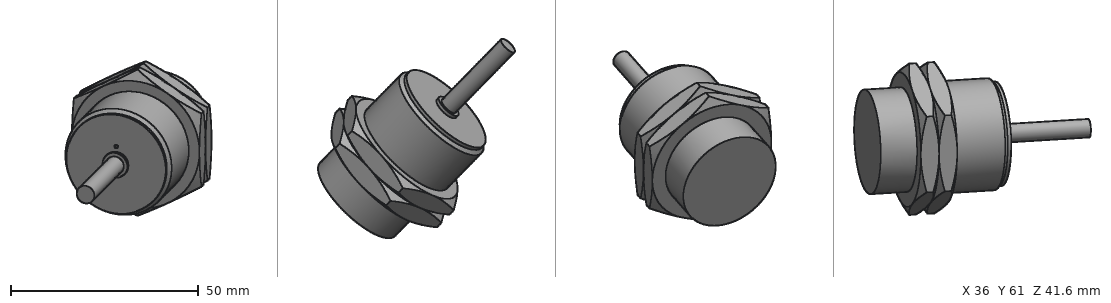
import cadquery as cq
import math

total_length = 61.0
rear_length = 10.0
nut_thickness = 5.0
nut_count = 2
barrel_end = 34.05
step = 1.0

end_diameter = 28.0
barrel_diameter = 30.0
collar_diameter = 7.0
cable_diameter = 5.0
nut_across_flats = 36.0
nut_chamfer_angle = 30.0

indicator_diameter = 1.0
indicator_height = 5.0
indicator_depth = indicator_diameter / 2

nut_across_corners = nut_across_flats / math.cos(math.pi / 6)
chamfer_end = barrel_end + step
face_distance = chamfer_end + step
collar_end = face_distance + step


def revolve_profile(points):
    """Revolve an outline of (radius, Y) points about the Y axis."""
    return cq.Workplane("XY").polyline(points).close().revolve(360, (0, 0, 0), (0, 1, 0))


def make_body():
    """Barrel, collar and cable as one turned shape."""
    return revolve_profile([
        (0, 0),
        (end_diameter / 2, 0),
        (end_diameter / 2, -rear_length),
        (barrel_diameter / 2, -rear_length),
        (barrel_diameter / 2, -barrel_end),
        (end_diameter / 2, -chamfer_end),
        (end_diameter / 2, -face_distance),
        (collar_diameter / 2, -face_distance),
        (collar_diameter / 2, -collar_end),
        (cable_diameter / 2, -collar_end),
        (cable_diameter / 2, -total_length),
        (0, -total_length),
    ])


def make_nut(start):
    """Hexagon nut with corners up and down, chamfered on both faces."""
    end = start + nut_thickness
    hexagon = (
        cq.Workplane("XZ", origin=(0, -start, 0))
        .transformed(rotate=(0, 0, 90))
        .polygon(6, nut_across_corners)
        .extrude(nut_thickness)
    )
    face_radius = nut_across_flats / 2
    corner_radius = nut_across_corners / 2
    drop = (corner_radius - face_radius) * math.tan(math.radians(nut_chamfer_angle))
    envelope = revolve_profile([
        (0, -start),
        (face_radius, -start),
        (corner_radius, -start - drop),
        (corner_radius, -end + drop),
        (face_radius, -end),
        (0, -end),
    ])
    return hexagon.intersect(envelope)


result = make_body()
for index in range(nut_count):
    result = result.union(make_nut(rear_length + index * nut_thickness))

pocket = (
    cq.Workplane("XZ", origin=(0, -face_distance, indicator_height))
    .circle(indicator_diameter / 2)
    .extrude(-indicator_depth)
)
lens_center = (0, -face_distance + indicator_diameter / 2, indicator_height)
lens = cq.Workplane("XY").sphere(indicator_diameter / 2).translate(lens_center)
result = result.cut(pocket).union(lens)